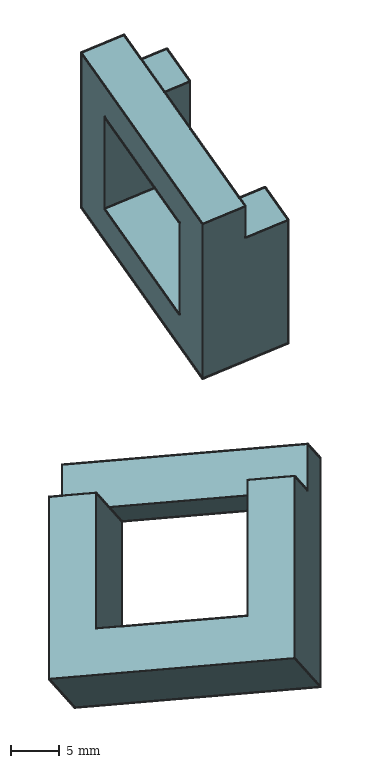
import cadquery as cq

width = 26.55
depth = 10.16
height = 25.03

border = 5.1
front_depth = depth / 2

window_width = width - 2 * border
window_height = height - 2 * border


def corner_box(size_x, size_y, size_z, corner):
    """Box whose minimum X, Y and Z corner sits at the given point."""
    return cq.Workplane("XY").box(size_x, size_y, size_z, centered=False).translate(corner)


block = corner_box(width, depth, height, (0, 0, 0))

window = corner_box(window_width, depth, window_height, (border, 0, border))

rear_step = corner_box(width, depth - front_depth, border, (0, front_depth, height - border))

result = block.cut(window).cut(rear_step)